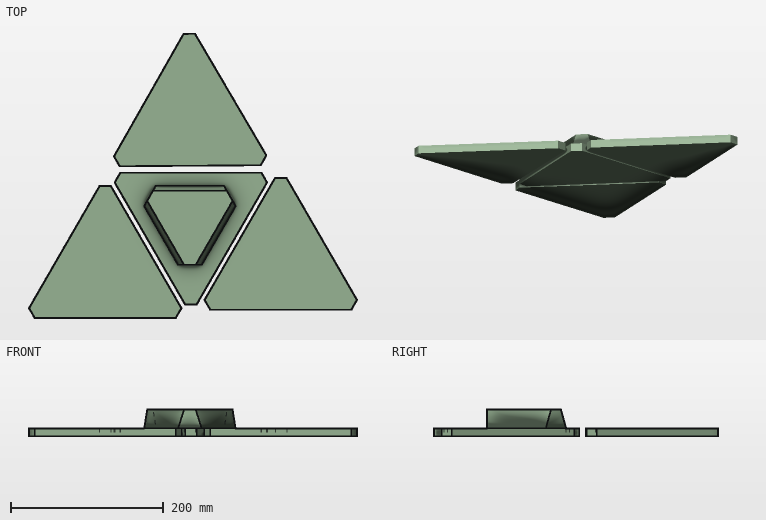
import cadquery as cq
import math

plate_side = 214.5
plate_clip = 15.0
plate_thickness = 10.5

block_side = 150.5
block_clip = 31.0
block_height = 25.0
block_inset = 7.0
block_center = (-1.5, 1.5)

outer_plates = [
    ((-1.5, 132.5), 0.4),
    ((-112.0, -66.5), 0.0),
    ((117.5, -56.0), 0.0),
]
central_turn = 180.0


def inradius(side):
    """Distance from the center of an equilateral triangle to its sides."""
    return side / (2 * math.sqrt(3))


def clipped_triangle(side, clip):
    """Closed outline centered on the origin, with its tip toward +Y."""
    half_side = side / 2
    base_y = -inradius(side)
    clip_rise = clip * math.sqrt(3) / 2
    tip_y = 2 * inradius(side) - clip_rise
    right = [
        (half_side - clip, base_y),
        (half_side - clip / 2, base_y + clip_rise),
        (clip / 2, tip_y),
    ]
    left = [(-x, y) for x, y in reversed(right)]
    return cq.Workplane("XY").polyline(right + left).close()


def make_plate(center, turn):
    plate = clipped_triangle(plate_side, plate_clip).extrude(plate_thickness)
    return plate.rotate((0, 0, 0), (0, 0, 1), turn).translate((*center, 0))


def make_block():
    """Triangular frustum with leaning sides and upright clipped corners."""
    lean = math.degrees(math.atan2(block_inset, block_height))
    frustum = (
        cq.Workplane("XY")
        .polygon(3, 4 * inradius(block_side))
        .extrude(block_height, taper=lean)
        .rotate((0, 0, 0), (0, 0, 1), 90)
    )
    corner_prism = clipped_triangle(block_side, block_clip).extrude(block_height)
    block = frustum.intersect(corner_prism)
    return block.rotate((0, 0, 0), (0, 0, 1), central_turn).translate((*block_center, plate_thickness))


central_plate = make_plate((0, 0), central_turn)
block = make_block()
side_plates = [make_plate(center, turn) for center, turn in outer_plates]

result = cq.Compound.makeCompound(
    [central_plate.val(), block.val(), *[plate.val() for plate in side_plates]]
)